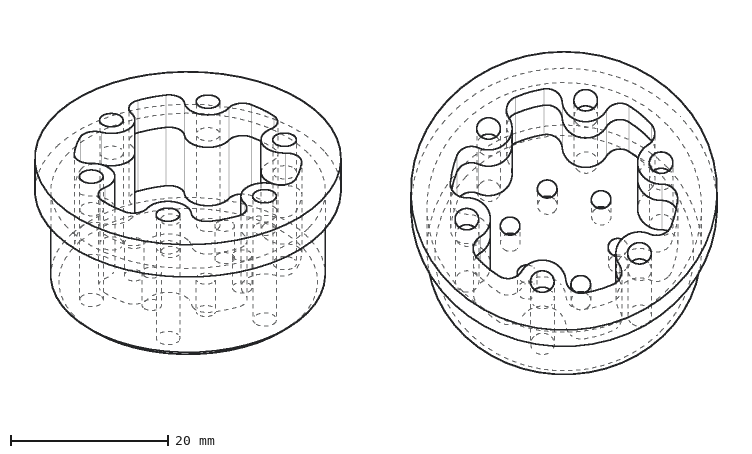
import cadquery as cq
import math

flange_diameter = 39.0
flange_height = 5.0
cup_diameter = 35.0
total_height = 19.0
cup_height = total_height - flange_height
bottom_chamfer = 1.0

cavity_radius = 14.5
cavity_depth = 14.0
floor_height = total_height - cavity_depth
lobe_corner_radius = 2.0
boss_radius = 3.0

hole_count = 6
hole_pitch = 360.0 / hole_count
bolt_hole_diameter = 3.0
bolt_circle_radius = 13.0
bolt_start_angle = 30.0
floor_hole_diameter = 2.5
floor_circle_radius = 7.02
floor_start_angle = 0.0


def polar(radius, angle):
    """Point at a distance from the axis, angle in degrees from +X."""
    return radius * math.cos(math.radians(angle)), radius * math.sin(math.radians(angle))


def toward(start, end, distance):
    """Point at a distance from start in the direction of end."""
    ratio = distance / math.dist(start, end)
    return start[0] + ratio * (end[0] - start[0]), start[1] + ratio * (end[1] - start[1])


def lobed_cavity(bottom, height):
    """Prism of a circle notched by the bolt bosses, every corner rounded by a tangent arc."""
    corner_circle_radius = cavity_radius - lobe_corner_radius
    boss_to_corner = boss_radius + lobe_corner_radius
    corner_offset = math.degrees(math.acos(
        (corner_circle_radius**2 + bolt_circle_radius**2 - boss_to_corner**2)
        / (2 * corner_circle_radius * bolt_circle_radius)
    ))

    def corner_arc(boss_angle, corner_angle):
        """Start on the boss, middle and end on the cavity circle of one corner arc."""
        boss = polar(bolt_circle_radius, boss_angle)
        center = polar(corner_circle_radius, corner_angle)
        boss_end = toward(boss, center, boss_radius)
        circle_end = polar(cavity_radius, corner_angle)
        chord_middle = ((boss_end[0] + circle_end[0]) / 2, (boss_end[1] + circle_end[1]) / 2)
        return boss_end, toward(center, chord_middle, lobe_corner_radius), circle_end

    outline_start = corner_arc(bolt_start_angle, bolt_start_angle + corner_offset)[0]
    outline = cq.Workplane("XY").workplane(offset=bottom).moveTo(*outline_start)
    for index in range(hole_count):
        boss_angle = bolt_start_angle + index * hole_pitch
        next_boss_angle = boss_angle + hole_pitch
        entry = corner_arc(boss_angle, boss_angle + corner_offset)
        leave = corner_arc(next_boss_angle, next_boss_angle - corner_offset)
        next_entry = corner_arc(next_boss_angle, next_boss_angle + corner_offset)
        lobe_middle = polar(cavity_radius, boss_angle + hole_pitch / 2)
        boss_middle = polar(bolt_circle_radius - boss_radius, next_boss_angle)
        outline = outline.threePointArc(entry[1], entry[2])
        outline = outline.threePointArc(lobe_middle, leave[2])
        outline = outline.threePointArc(leave[1], leave[0])
        outline = outline.threePointArc(boss_middle, next_entry[0])
    return outline.close().extrude(height)


def hole_ring(diameter, circle_radius, start_angle):
    """Full-height cylinders evenly spaced on a circle."""
    return (
        cq.Workplane("XY")
        .polarArray(circle_radius, start_angle, 360, hole_count)
        .circle(diameter / 2)
        .extrude(total_height)
    )


def make_flange(cavity, bolt_holes):
    """Ring plate resting on top of the cup."""
    base_plane = cq.Workplane("XY").workplane(offset=cup_height)
    plate = base_plane.circle(flange_diameter / 2).extrude(flange_height)
    return plate.cut(cavity).cut(bolt_holes).solids()


def make_cup(cavity, bolt_holes, floor_holes):
    """Round cup with a chamfered bottom edge and a perforated floor."""
    blank = cq.Workplane("XY").circle(cup_diameter / 2).extrude(cup_height)
    blank = blank.faces("<Z").chamfer(bottom_chamfer)
    return blank.cut(cavity).cut(bolt_holes).cut(floor_holes).solids()


cavity = lobed_cavity(floor_height, cavity_depth)
bolt_holes = hole_ring(bolt_hole_diameter, bolt_circle_radius, bolt_start_angle)
floor_holes = hole_ring(floor_hole_diameter, floor_circle_radius, floor_start_angle)

flange = make_flange(cavity, bolt_holes)
cup = make_cup(cavity, bolt_holes, floor_holes)

result = cq.Compound.makeCompound([flange.val(), cup.val()])